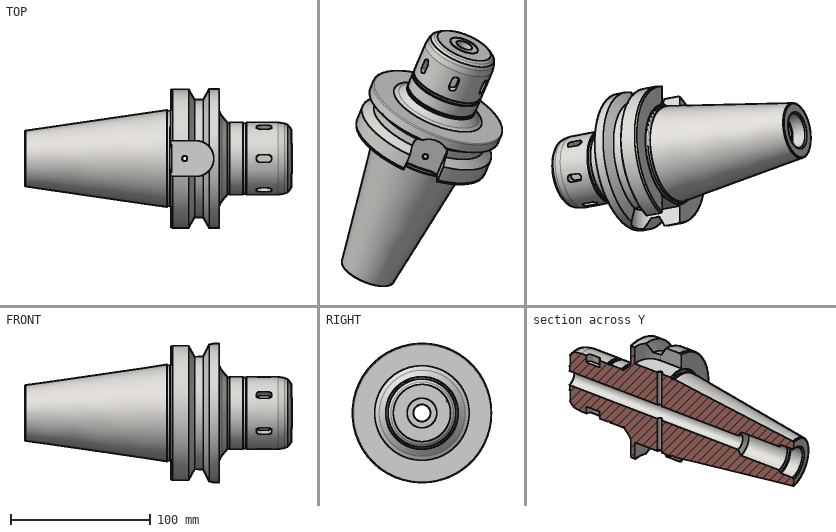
import cadquery as cq
import math

overall_length = 191.8

taper_length = 101.8
taper_large_diameter = 69.8
taper_ratio = 7 / 24
taper_small_diameter = taper_large_diameter - taper_ratio * taper_length
taper_end_chamfer = 0.5

relief_diameter = 68.9
undercut_depth = 0.5
undercut_fillet = 1.2
undercut_diameter = 72.1
undercut_mouth_diameter = 73.3

flange_start = 104.7
flange_end = 139.6
flange_diameter = 100.0
flange_chamfer_length = 1.5
flange_chamfer_depth = 0.5
flange_fillet = 0.8
groove_floor_diameter = 85.0
groove_floor_start = 121.8
groove_floor_end = 128.0
groove_half_angle = 30.0

shoulder_root_radius = 34.0
shoulder_cone_start = 141.2
shoulder_cone_radius = 30.9
shoulder_cone_end = 145.2
neck_start = 145.8
neck_diameter = 51.0

nut_diameter = 52.2
nut_start = 147.1
nut_groove_start = 156.3
nut_groove_end = 159.2
nut_groove_chamfer = 0.5
nose_start = 181.6
nose_taper_end = 186.2
nose_taper_end_radius = 25.3
nose_bevel_start = 188.5
nose_bevel_start_radius = 24.4
nose_bevel_end = 190.3
nose_bevel_end_radius = 22.5
nose_face_position = 191.5
nose_face_radius = 20.5
collet_rim_diameter = 21.3

mouth_diameter = 27.0
counterbore_diameter = 25.0
mouth_chamfer = (mouth_diameter - counterbore_diameter) / 2
counterbore_depth = 11.0
step_diameter = 24.0
step_length = 0.5
thread_diameter = 20.5
thread_chamfer_length = 1.0
thread_end = 45.0
drill_point_half_angle = 59.0
through_diameter = 12.0

drive_slot_width = 25.7
drive_slot_end = 135.6
drive_slot_floor = 35.3

cross_hole_position = 114.7
cross_hole_diameter = 3.5
cross_hole_mouth_diameter = 4.0
cross_hole_mouth_depth = 0.5

wrench_slot_count = 6
wrench_slot_center = 171.7
wrench_slot_length = 11.1
wrench_slot_width = 5.4
wrench_slot_floor = 20.0


def make_body():
    """Revolve the outer profile about the X axis."""
    flange_radius = flange_diameter / 2
    groove_floor_radius = groove_floor_diameter / 2
    groove_run = (flange_radius - groove_floor_radius) * math.tan(math.radians(groove_half_angle))
    relief_radius = relief_diameter / 2
    relief_depth = taper_large_diameter / 2 - relief_radius
    undercut_end = flange_start + undercut_depth
    profile = (
        cq.Workplane("XY")
        .moveTo(0, 0)
        .lineTo(0, taper_small_diameter / 2 - taper_end_chamfer)
        .lineTo(taper_end_chamfer, taper_small_diameter / 2 + taper_end_chamfer * taper_ratio / 2)
        .lineTo(taper_length, taper_large_diameter / 2)
        .lineTo(taper_length + relief_depth, relief_radius)
        .lineTo(undercut_end - undercut_fillet, relief_radius)
        .tangentArcPoint((undercut_end, relief_radius + undercut_fillet), relative=False)
        .lineTo(undercut_end, undercut_diameter / 2)
        .lineTo(flange_start, undercut_mouth_diameter / 2)
        .lineTo(flange_start, flange_radius - flange_chamfer_depth)
        .lineTo(flange_start + flange_chamfer_length, flange_radius)
        .lineTo(groove_floor_start - groove_run, flange_radius)
        .lineTo(groove_floor_start, groove_floor_radius)
        .lineTo(groove_floor_end, groove_floor_radius)
        .lineTo(groove_floor_end + groove_run, flange_radius)
        .lineTo(flange_end - flange_fillet, flange_radius)
        .tangentArcPoint((flange_end, flange_radius - flange_fillet), relative=False)
        .lineTo(flange_end, shoulder_root_radius)
        .lineTo(shoulder_cone_start, shoulder_cone_radius)
        .lineTo(shoulder_cone_end, nut_diameter / 2)
        .lineTo(neck_start, nut_diameter / 2)
        .lineTo(neck_start, neck_diameter / 2)
        .lineTo(nut_start, neck_diameter / 2)
        .lineTo(nut_start, nut_diameter / 2)
        .lineTo(nut_groove_start, nut_diameter / 2)
        .lineTo(nut_groove_start + nut_groove_chamfer, neck_diameter / 2)
        .lineTo(nut_groove_end - nut_groove_chamfer, neck_diameter / 2)
        .lineTo(nut_groove_end, nut_diameter / 2)
        .lineTo(nose_start, nut_diameter / 2)
        .lineTo(nose_taper_end, nose_taper_end_radius)
        .lineTo(nose_bevel_start, nose_bevel_start_radius)
        .lineTo(nose_bevel_end, nose_bevel_end_radius)
        .lineTo(nose_face_position, nose_face_radius)
        .lineTo(nose_face_position, collet_rim_diameter / 2)
        .lineTo(overall_length, collet_rim_diameter / 2)
        .lineTo(overall_length, 0)
        .close()
    )
    return profile.revolve(360, (0, 0, 0), (1, 0, 0))


def make_bore():
    """Revolve the stepped bore that runs through the whole part."""
    step_end = counterbore_depth + step_length
    thread_start = step_end + thread_chamfer_length
    point_length = (thread_diameter - through_diameter) / 2 / math.tan(math.radians(drill_point_half_angle))
    profile = (
        cq.Workplane("XY")
        .moveTo(0, 0)
        .lineTo(0, mouth_diameter / 2)
        .lineTo(mouth_chamfer, counterbore_diameter / 2)
        .lineTo(counterbore_depth, counterbore_diameter / 2)
        .lineTo(counterbore_depth, step_diameter / 2)
        .lineTo(step_end, step_diameter / 2)
        .lineTo(thread_start, thread_diameter / 2)
        .lineTo(thread_end, thread_diameter / 2)
        .lineTo(thread_end + point_length, through_diameter / 2)
        .lineTo(overall_length, through_diameter / 2)
        .lineTo(overall_length, 0)
        .close()
    )
    return profile.revolve(360, (0, 0, 0), (1, 0, 0))


def make_drive_slot():
    """Round-ended slot on the +Z side, open toward the taper."""
    half_width = drive_slot_width / 2
    arc_center = drive_slot_end - half_width
    return (
        cq.Workplane("XY", origin=(0, 0, drive_slot_floor))
        .moveTo(flange_start, -half_width)
        .lineTo(arc_center, -half_width)
        .threePointArc((drive_slot_end, 0), (arc_center, half_width))
        .lineTo(flange_start, half_width)
        .close()
        .extrude(flange_diameter / 2 - drive_slot_floor)
    )


def make_cross_hole():
    """Hole along Z between the two drive slot floors, widened at both mouths."""
    hole = (
        cq.Workplane("XY", origin=(cross_hole_position, 0, -drive_slot_floor))
        .circle(cross_hole_diameter / 2)
        .extrude(2 * drive_slot_floor)
    )
    for mouth_bottom in (drive_slot_floor - cross_hole_mouth_depth, -drive_slot_floor):
        mouth = (
            cq.Workplane("XY", origin=(cross_hole_position, 0, mouth_bottom))
            .circle(cross_hole_mouth_diameter / 2)
            .extrude(cross_hole_mouth_depth)
        )
        hole = hole.union(mouth)
    return hole


def make_wrench_slot(angle):
    """Blind slot in the nut, turned about the X axis from the +Z side."""
    return (
        cq.Workplane("XY", origin=(wrench_slot_center, 0, wrench_slot_floor))
        .slot2D(wrench_slot_length, wrench_slot_width)
        .extrude(nut_diameter / 2 - wrench_slot_floor)
        .rotate((0, 0, 0), (1, 0, 0), angle)
    )


result = make_body().cut(make_bore())

drive_slot = make_drive_slot()
for slot_angle in (0, 180):
    result = result.cut(drive_slot.rotate((0, 0, 0), (1, 0, 0), slot_angle))

result = result.cut(make_cross_hole())

for index in range(wrench_slot_count):
    result = result.cut(make_wrench_slot(index * 360 / wrench_slot_count))